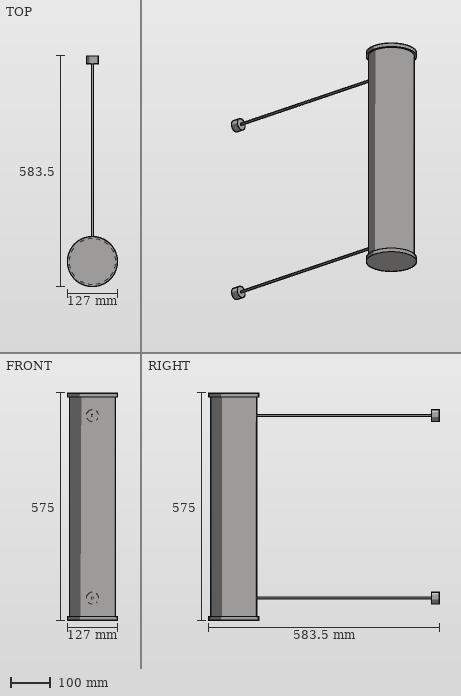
import cadquery as cq

height = 575.0
depth = 583.5
cap_diameter = 127.0
cap_thickness = 10.0
tube_diameter = 116.5
rod_diameter = 6.0
rod_inset = 56.5
foot_diameter = 30.5
foot_length = 20.0

back_y = depth - cap_diameter / 2
rod_height = height / 2 - rod_inset


def upright_cylinder(diameter, length, center_z):
    """Solid cylinder along Z."""
    return cq.Workplane("XY").cylinder(length, diameter / 2).translate((0, 0, center_z))


def cylinder_from_back(diameter, length, z):
    """Solid cylinder running forward (-Y) from the rear face."""
    return cq.Workplane("XZ", origin=(0, back_y, z)).circle(diameter / 2).extrude(length)


result = upright_cylinder(tube_diameter, height, 0)
cap_height = (height - cap_thickness) / 2
for side in (-1, 1):
    result = result.union(upright_cylinder(cap_diameter, cap_thickness, side * cap_height))

for side in (-1, 1):
    z = side * rod_height
    result = result.union(cylinder_from_back(rod_diameter, back_y, z))
    result = result.union(cylinder_from_back(foot_diameter, foot_length, z))